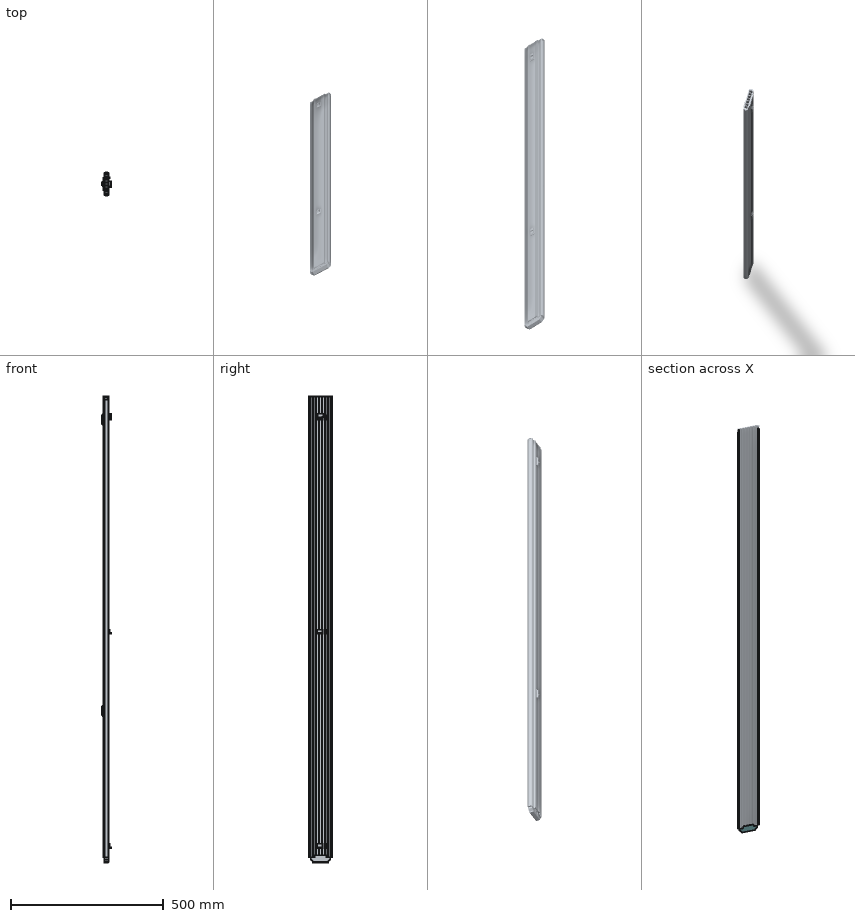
import cadquery as cq

OVERALL_X = 30.39
OVERALL_Y = 76.19
OVERALL_Z = 1524.0
TOP_Z = OVERALL_Z / 2
BOTTOM_Z = -OVERALL_Z / 2

WING_HALF_X = 8.0
NOSE_RISE = 3.5
LIP_X = -11.0
LIP_HALF_Y = 21.0
CHANNEL_HALF_Y = 10.5
CHANNEL_DEPTH = 1.0
LIP_GROOVE_YS = (14.0, 18.5)
WING_GROOVE_YS = (26.0, 30.5)
GROOVE_WIDTH = 2.0
GROOVE_DEPTH = 1.0

WALL = 2.0
CHAMBER_HALF_X = WING_HALF_X - WALL - GROOVE_DEPTH
CHAMBER_COUNT = 7
CHAMBER_PITCH = 9.5
CHAMBER_WIDTH_Y = CHAMBER_PITCH - WALL

RAIL_BOTTOM_Z = -745.0
END_NOTCH_DEPTH = 7.0
END_NOTCH_HALF_Y = 19.0
NOSE_POCKET_DEPTH = 2.0
NOSE_POCKET_TOP_GAP = 2.5
NOSE_POCKET_HEIGHT = 8.0
NOSE_POCKET_MIN_X = -6.0
NOSE_POCKET_MAX_X = 2.0

HOOK_PITCH = 700.0
HOOK_MIDDLE_BOTTOM_Z = -14.5
HOOK_HEIGHT = 14.0
HOOK_ARM_X = 3.0
HOOK_FOOT_HEIGHT = 3.0
HOOK_HALF_Y = 9.0
HOOK_CENTRE_Y = -2.0
LUG_CENTRE_Y = 20.5
LUG_HALF_Y = 1.5
CATCH_BOTTOM_Z = 694.0
CATCH_TOP_Z = 706.0

BRACKET_CENTRES_Z = (686.0, -266.0)
BRACKET_BASE_HEIGHT = 34.0
BRACKET_FACE_HEIGHT = 27.0
BRACKET_WIDTH = 16.0
BRACKET_RIB_WIDTH = 10.0
BRACKET_PLATE = 1.5
BRACKET_HOLE_DIAMETER = 9.0

FOOT_FRONT_X = -7.0
FOOT_BACK_X = 7.5
FOOT_SHOULDER_HALF_Y = 32.5
FOOT_HALF_Y = 25.4
FOOT_FLANGE_HEIGHT = 4.0
FOOT_CHAMFER = 3.0
GUSSET_TOP_HALF_Y = 6.0
GUSSET_BOTTOM_HALF_Y = 13.0
GUSSET_RIM = 4.0
GUSSET_THICKNESS = 1.0


def box(x_min, x_max, y_min, y_max, z_min, z_max):
    """Axis-aligned block between the given limits."""
    size = (x_max - x_min, y_max - y_min, z_max - z_min)
    return cq.Workplane("XY").box(*size, centered=False).translate((x_min, y_min, z_min))


def make_rail_profile():
    """Solid rail: two wings with rounded noses and a thicker middle block."""
    nose_y = OVERALL_Y / 2
    side_y = nose_y - NOSE_RISE
    return (
        cq.Workplane("XY", origin=(0, 0, RAIL_BOTTOM_Z))
        .moveTo(WING_HALF_X, -side_y)
        .lineTo(WING_HALF_X, side_y)
        .threePointArc((0, nose_y), (-WING_HALF_X, side_y))
        .lineTo(-WING_HALF_X, LIP_HALF_Y)
        .lineTo(LIP_X, LIP_HALF_Y)
        .lineTo(LIP_X, -LIP_HALF_Y)
        .lineTo(-WING_HALF_X, -LIP_HALF_Y)
        .lineTo(-WING_HALF_X, -side_y)
        .threePointArc((0, -nose_y), (WING_HALF_X, -side_y))
        .close()
        .extrude(TOP_Z - RAIL_BOTTOM_Z)
    )


def groove(face_x, centre_y, width, depth):
    """Full-length cutter for a groove in a front (-X) face."""
    return box(face_x, face_x + depth, centre_y - width / 2, centre_y + width / 2, RAIL_BOTTOM_Z, TOP_Z)


def make_hook(bottom_z):
    """L-shaped hook on the back face, foot at its lower end, with a small lug beside it."""
    y_min = HOOK_CENTRE_Y - HOOK_HALF_Y
    y_max = HOOK_CENTRE_Y + HOOK_HALF_Y
    arm_x = WING_HALF_X + HOOK_ARM_X
    top_z = bottom_z + HOOK_HEIGHT
    arm = box(WING_HALF_X, arm_x, y_min, y_max, bottom_z, top_z)
    foot = box(WING_HALF_X, OVERALL_X / 2, y_min, y_max, bottom_z, bottom_z + HOOK_FOOT_HEIGHT)
    lug = box(WING_HALF_X, arm_x, LUG_CENTRE_Y - LUG_HALF_Y, LUG_CENTRE_Y + LUG_HALF_Y, bottom_z, top_z)
    return arm.union(foot), lug


def make_rail():
    rail = make_rail_profile()

    rail = rail.cut(groove(LIP_X, 0, 2 * CHANNEL_HALF_Y, CHANNEL_DEPTH))
    for side in (-1, 1):
        for y in LIP_GROOVE_YS:
            rail = rail.cut(groove(LIP_X, side * y, GROOVE_WIDTH, GROOVE_DEPTH))
        for y in WING_GROOVE_YS:
            rail = rail.cut(groove(-WING_HALF_X, side * y, GROOVE_WIDTH, GROOVE_DEPTH))

    for index in range(CHAMBER_COUNT):
        y = (index - (CHAMBER_COUNT - 1) / 2) * CHAMBER_PITCH
        y_min = y - CHAMBER_WIDTH_Y / 2
        y_max = y + CHAMBER_WIDTH_Y / 2
        rail = rail.cut(box(-CHAMBER_HALF_X, CHAMBER_HALF_X, y_min, y_max, RAIL_BOTTOM_Z, TOP_Z))

    notch_top_z = RAIL_BOTTOM_Z + END_NOTCH_DEPTH
    rail = rail.cut(
        box(LIP_X, WING_HALF_X, -END_NOTCH_HALF_Y, END_NOTCH_HALF_Y, RAIL_BOTTOM_Z, notch_top_z)
    )

    pocket_top_z = TOP_Z - NOSE_POCKET_TOP_GAP
    pocket_bottom_z = pocket_top_z - NOSE_POCKET_HEIGHT
    floor_y = OVERALL_Y / 2 - NOSE_POCKET_DEPTH
    pocket = box(
        NOSE_POCKET_MIN_X, NOSE_POCKET_MAX_X, -OVERALL_Y / 2, -floor_y, pocket_bottom_z, pocket_top_z
    )
    rail = rail.cut(pocket).cut(pocket.mirror("XZ"))

    for step in (-1, 0, 1):
        hook, lug = make_hook(HOOK_MIDDLE_BOTTOM_Z + step * HOOK_PITCH)
        rail = rail.union(hook).union(lug)
    catch = box(WING_HALF_X, OVERALL_X / 2, -HOOK_HALF_Y, HOOK_HALF_Y, CATCH_BOTTOM_Z, CATCH_TOP_Z)
    return rail.union(catch)


def make_bracket(centre_z):
    """Plate on the channel floor with a tapered rib and a screw hole."""
    base_x = LIP_X + CHANNEL_DEPTH
    plate = box(
        base_x - BRACKET_PLATE, base_x,
        -BRACKET_WIDTH / 2, BRACKET_WIDTH / 2,
        -BRACKET_BASE_HEIGHT / 2, BRACKET_BASE_HEIGHT / 2,
    )
    rib = (
        cq.Workplane("XZ")
        .polyline([
            (base_x, -BRACKET_BASE_HEIGHT / 2),
            (base_x, BRACKET_BASE_HEIGHT / 2),
            (-OVERALL_X / 2, BRACKET_FACE_HEIGHT / 2),
            (-OVERALL_X / 2, -BRACKET_FACE_HEIGHT / 2),
        ])
        .close()
        .extrude(BRACKET_RIB_WIDTH / 2, both=True)
    )
    hole = (
        cq.Workplane("YZ", origin=(-OVERALL_X / 2, 0, 0))
        .circle(BRACKET_HOLE_DIAMETER / 2)
        .extrude(OVERALL_X / 2 + base_x)
    )
    return plate.union(rib).cut(hole).translate((0, 0, centre_z))


def gusset_wedge(inset, top_z, bottom_z):
    """Wedge on the front of the foot that widens downwards, with its sides moved in by the inset."""
    top_half_y = GUSSET_TOP_HALF_Y - inset
    bottom_half_y = GUSSET_BOTTOM_HALF_Y - inset
    return (
        cq.Workplane("YZ", origin=(FOOT_FRONT_X, 0, 0))
        .polyline([
            (-top_half_y, top_z),
            (top_half_y, top_z),
            (bottom_half_y, bottom_z),
            (-bottom_half_y, bottom_z),
        ])
        .close()
        .extrude(-GUSSET_THICKNESS)
    )


def make_foot():
    """Foot: tongue in the rail notch, shoulder tapering down under the rail, gusset and bottom flange."""
    tongue_top_z = RAIL_BOTTOM_Z + END_NOTCH_DEPTH
    flange_top_z = BOTTOM_Z + FOOT_FLANGE_HEIGHT
    tongue = box(
        FOOT_FRONT_X, FOOT_BACK_X, -END_NOTCH_HALF_Y, END_NOTCH_HALF_Y, RAIL_BOTTOM_Z, tongue_top_z
    )
    taper_top_z = flange_top_z + FOOT_SHOULDER_HALF_Y - FOOT_HALF_Y
    body = (
        cq.Workplane("YZ", origin=(FOOT_FRONT_X, 0, 0))
        .polyline([
            (-FOOT_SHOULDER_HALF_Y, RAIL_BOTTOM_Z),
            (FOOT_SHOULDER_HALF_Y, RAIL_BOTTOM_Z),
            (FOOT_SHOULDER_HALF_Y, taper_top_z),
            (FOOT_HALF_Y, flange_top_z),
            (FOOT_HALF_Y, BOTTOM_Z),
            (-FOOT_HALF_Y, BOTTOM_Z),
            (-FOOT_HALF_Y, flange_top_z),
            (-FOOT_SHOULDER_HALF_Y, taper_top_z),
        ])
        .close()
        .extrude(FOOT_BACK_X - FOOT_FRONT_X)
    )
    body = body.edges("|Y and >X and <Z").chamfer(FOOT_CHAMFER)
    gusset = gusset_wedge(0, tongue_top_z, flange_top_z)
    gusset = gusset.cut(gusset_wedge(GUSSET_RIM, tongue_top_z - GUSSET_RIM, flange_top_z))
    flange = box(
        FOOT_FRONT_X - GUSSET_THICKNESS, FOOT_FRONT_X, -FOOT_HALF_Y, FOOT_HALF_Y, BOTTOM_Z, flange_top_z
    )
    return tongue.union(body).union(gusset).union(flange)


rail = make_rail()
brackets = [make_bracket(z) for z in BRACKET_CENTRES_Z]
foot = make_foot()
result = cq.Compound.makeCompound([rail.val(), *[bracket.val() for bracket in brackets], foot.val()])